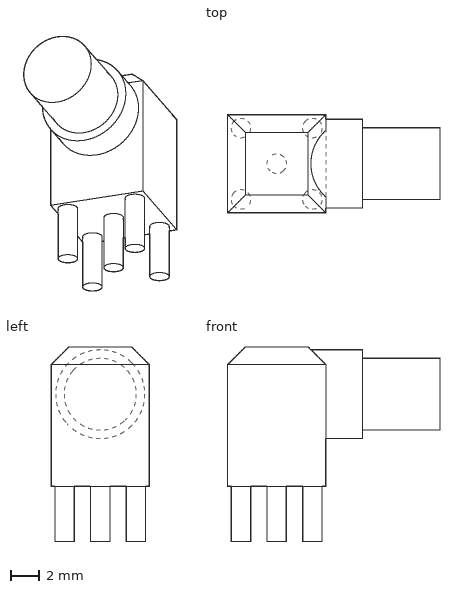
import cadquery as cq

total_length = 15.14
total_height = 13.88
body_width = 7.01

pin_length = 3.94
top_chamfer = 1.27
body_height = total_height - pin_length

axis_height = 10.5
collar_diameter = 6.35
collar_length = 2.62
barrel_diameter = 5.13
body_face_x = body_width / 2
collar_end_x = body_face_x + collar_length
barrel_end_x = total_length - body_width / 2

pin_diameter = 1.4
pin_pitch = 2.55
pin_overlap = 0.15


def make_body():
    block = cq.Workplane("XY").workplane(offset=pin_length).rect(body_width, body_width).extrude(body_height)
    return block.faces(">Z").chamfer(top_chamfer)


def make_cylinder_along_x(diameter, end_x):
    """Cylinder from the middle of the body to end_x."""
    return cq.Workplane("YZ").center(0, axis_height).circle(diameter / 2).extrude(end_x)


def make_pins():
    places = [(0, 0)]
    for side_x in (-1, 1):
        for side_y in (-1, 1):
            places.append((side_x * pin_pitch, side_y * pin_pitch))
    return cq.Workplane("XY").pushPoints(places).circle(pin_diameter / 2).extrude(pin_length + pin_overlap)


collar = make_cylinder_along_x(collar_diameter, collar_end_x)
barrel = make_cylinder_along_x(barrel_diameter, barrel_end_x)

result = make_body().union(collar).union(barrel).union(make_pins())